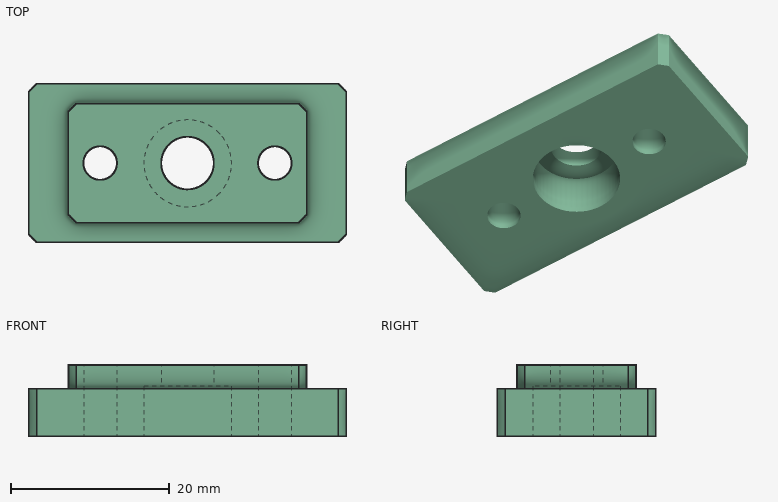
import cadquery as cq

base_length = 40.0
base_width = 20.0
base_height = 6.0

pad_length = 30.0
pad_width = 15.0
pad_height = 3.0

corner_chamfer = 1.0

centre_hole_diameter = 6.6
side_hole_diameter = 4.2
side_hole_spacing = 22.0

counterbore_diameter = 11.0
counterbore_depth = 6.4


def chamfered_block(length, width, height, bottom_z):
    """Rectangular block centred on the Z axis with chamfered vertical edges."""
    return (
        cq.Workplane("XY")
        .workplane(offset=bottom_z)
        .rect(length, width)
        .extrude(height)
        .edges("|Z")
        .chamfer(corner_chamfer)
    )


def through_hole(diameter, x):
    """Cutting cylinder that spans the full height of the part."""
    return (
        cq.Workplane("XY")
        .center(x, 0)
        .circle(diameter / 2)
        .extrude(base_height + pad_height)
    )


def underside_counterbore():
    """Cutting cylinder that widens the centre hole from the bottom face."""
    return cq.Workplane("XY").circle(counterbore_diameter / 2).extrude(counterbore_depth)


base = chamfered_block(base_length, base_width, base_height, 0)
pad = chamfered_block(pad_length, pad_width, pad_height, base_height)
result = base.union(pad)

result = result.cut(through_hole(centre_hole_diameter, 0))
result = result.cut(underside_counterbore())
for side in (-1, 1):
    result = result.cut(through_hole(side_hole_diameter, side * side_hole_spacing / 2))